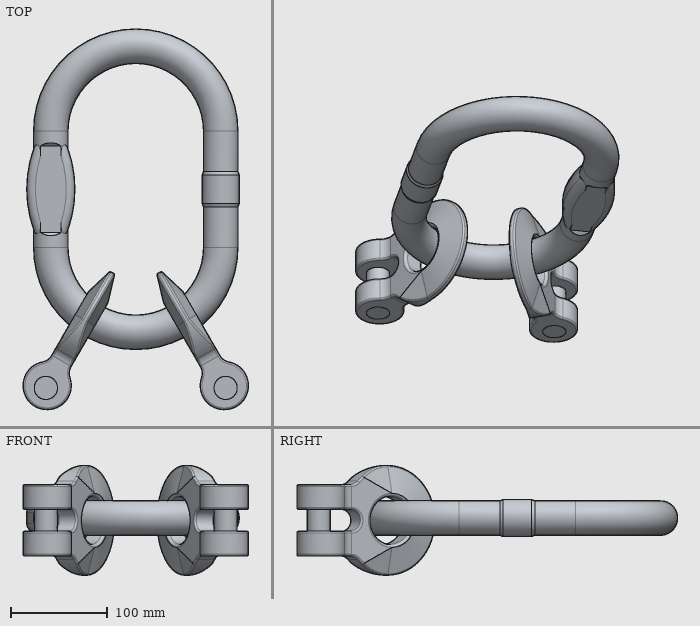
import cadquery as cq
import math

WIRE_DIAMETER = 36.0
RING_INNER_WIDTH = 140.0
RING_STRAIGHT = 120.0
RING_HEIGHT = 2.5
BEND_RADIUS = (RING_INNER_WIDTH + WIRE_DIAMETER) / 2

COLLAR_DIAMETER = 38.5
COLLAR_LENGTH = 36.2
COLLAR_TAPER = 3.5

PAD_LENGTH = 94.5
PAD_MIDDLE_WIDTH = 50.0
PAD_END_WIDTH = 31.0
PAD_THICKNESS = 29.0
PAD_FILLET = 9.0
FLAT_LENGTH = 89.5

HEAD_DIAMETER = 50.0
HEAD_HEIGHT = 74.0
EDGE_FILLET = 2.0
PLATE_THICKNESS = 23.2
DISC_DIAMETER = 114.0
DISC_DISTANCE = 78.0
SHOULDER_RADIUS = 12.0
RIM_THICKNESS = 6.0
BEVEL_INNER_RADIUS = 28.0
BEVEL_END_OFFSET = 34.5
EYE_DIAMETER = 49.5
EYE_ROUNDING = 3.0
SLOT_WIDTH = 22.5
SLOT_BOTTOM = 41.5

PIN_DIAMETER = 24.0
PIN_OFFSET = -2.8

OVERALL_WIDTH = 233.0
OVERALL_LENGTH = 394.0
FORK_TILT = 30

HEAD_RADIUS = HEAD_DIAMETER / 2
RING_HALF_LENGTH = RING_STRAIGHT / 2 + BEND_RADIUS + WIRE_DIAMETER / 2
HEAD_X = OVERALL_WIDTH / 2 - HEAD_RADIUS
HEAD_Y = RING_HALF_LENGTH - OVERALL_LENGTH + HEAD_RADIUS
HEAD_TOP = HEAD_HEIGHT / 2
HALF_PLATE = PLATE_THICKNESS / 2
DISC_RADIUS = DISC_DIAMETER / 2
SHOULDER_Z = HEAD_TOP + SHOULDER_RADIUS
NECK_LENGTH = DISC_DISTANCE - math.sqrt((DISC_RADIUS + SHOULDER_RADIUS) ** 2 - SHOULDER_Z**2)

EXTRA = 4.0


def make_bare_ring():
    """Round wire swept around the stadium."""
    half = RING_STRAIGHT / 2
    path = (
        cq.Workplane("XY")
        .moveTo(BEND_RADIUS, -half)
        .lineTo(BEND_RADIUS, half)
        .threePointArc((0, half + BEND_RADIUS), (-BEND_RADIUS, half))
        .lineTo(-BEND_RADIUS, -half)
        .threePointArc((0, -half - BEND_RADIUS), (BEND_RADIUS, -half))
        .close()
    )
    section = cq.Workplane("XZ", origin=(BEND_RADIUS, -half, 0)).circle(WIRE_DIAMETER / 2)
    return section.sweep(path)


def make_collar():
    """Sleeve with a cone at each end, running down to the wire."""
    half = COLLAR_LENGTH / 2
    top = COLLAR_DIAMETER / 2
    wire = WIRE_DIAMETER / 2
    return (
        cq.Workplane("XY")
        .moveTo(0, -half)
        .lineTo(wire, -half)
        .lineTo(top, -half + COLLAR_TAPER)
        .lineTo(top, half - COLLAR_TAPER)
        .lineTo(wire, half)
        .lineTo(0, half)
        .close()
        .revolve(360, (0, 0, 0), (0, 1, 0))
        .translate((BEND_RADIUS, 0, 0))
    )


def make_pad():
    """Barrel-shaped swelling with rounded long edges."""
    half_length = PAD_LENGTH / 2
    end_x = PAD_END_WIDTH / 2
    middle_x = PAD_MIDDLE_WIDTH / 2
    return (
        cq.Workplane("XY", origin=(-BEND_RADIUS, 0, -PAD_THICKNESS / 2))
        .moveTo(end_x, -half_length)
        .threePointArc((middle_x, 0), (end_x, half_length))
        .lineTo(-end_x, half_length)
        .threePointArc((-middle_x, 0), (-end_x, -half_length))
        .close()
        .extrude(PAD_THICKNESS)
        .faces("<Z or >Z")
        .edges("not |X")
        .fillet(PAD_FILLET)
    )


def make_flat_cutter():
    """Trapezoid tool that presses the +Z flat, with a 45 degree ramp at each end."""
    low = PAD_THICKNESS / 2
    high = WIRE_DIAMETER / 2 + EXTRA
    half = FLAT_LENGTH / 2
    half_top = half + high - low
    return (
        cq.Workplane("YZ", origin=(-BEND_RADIUS, 0, 0))
        .polyline([(-half, low), (half, low), (half_top, high), (-half_top, high)])
        .close()
        .extrude(PAD_MIDDLE_WIDTH / 2, both=True)
    )


def make_ring():
    """Wire with its collar, its swelling and the two pressed flats."""
    ring = make_bare_ring().union(make_collar()).union(make_pad())
    flat = make_flat_cutter()
    return ring.cut(flat).cut(flat.mirror("XY")).translate((0, 0, RING_HEIGHT))


def make_fork_plan():
    """Head circle flaring into the plate, seen along Z and extruded past the disc height."""
    spread = 2 * (HEAD_RADIUS - HALF_PLATE)
    flare_radius = (NECK_LENGTH**2 + HALF_PLATE**2 - HEAD_RADIUS**2) / spread
    flare_x = HALF_PLATE + flare_radius
    share = HEAD_RADIUS / (HEAD_RADIUS + flare_radius)
    touch = (flare_x * share, NECK_LENGTH * share)
    half_angle = math.atan2(NECK_LENGTH, flare_x) / 2
    middle = (
        flare_x - flare_radius * math.cos(half_angle),
        NECK_LENGTH - flare_radius * math.sin(half_angle),
    )
    tip = DISC_DISTANCE + DISC_RADIUS + EXTRA
    return (
        cq.Workplane("XY")
        .moveTo(HALF_PLATE, tip)
        .lineTo(HALF_PLATE, NECK_LENGTH)
        .threePointArc(middle, touch)
        .threePointArc((0, -HEAD_RADIUS), (-touch[0], touch[1]))
        .threePointArc((-middle[0], middle[1]), (-HALF_PLATE, NECK_LENGTH))
        .lineTo(-HALF_PLATE, tip)
        .close()
        .extrude(DISC_DIAMETER, both=True)
    )


def make_fork_side():
    """Head block running into the round disc, seen along the plate's normal."""
    lean = math.atan2(SHOULDER_Z, DISC_DISTANCE - NECK_LENGTH)
    touch = (DISC_DISTANCE - DISC_RADIUS * math.cos(lean), DISC_RADIUS * math.sin(lean))
    middle_angle = (math.pi / 2 + lean) / 2
    middle = (
        NECK_LENGTH + SHOULDER_RADIUS * math.cos(middle_angle),
        SHOULDER_Z - SHOULDER_RADIUS * math.sin(middle_angle),
    )
    back = -HEAD_RADIUS - EXTRA
    return (
        cq.Workplane("YZ")
        .moveTo(back, HEAD_TOP)
        .lineTo(NECK_LENGTH, HEAD_TOP)
        .threePointArc(middle, touch)
        .threePointArc((DISC_DISTANCE + DISC_RADIUS, 0), (touch[0], -touch[1]))
        .threePointArc((middle[0], -middle[1]), (NECK_LENGTH, -HEAD_TOP))
        .lineTo(back, -HEAD_TOP)
        .close()
        .extrude(HEAD_DIAMETER, both=True)
    )


def bevel_triangle(plane, radial_scale):
    """Triangle above the bevel slope, starting at the bevel's inner edge on the +X plate face."""
    slope = (HALF_PLATE - RIM_THICKNESS / 2) / (DISC_RADIUS - BEVEL_INNER_RADIUS)
    run = DISC_DIAMETER - BEVEL_INNER_RADIUS
    return (
        cq.Workplane(plane)
        .moveTo(HALF_PLATE, BEVEL_INNER_RADIUS * radial_scale)
        .lineTo(HALF_PLATE, (BEVEL_INNER_RADIUS + run) * radial_scale)
        .lineTo(HALF_PLATE - slope * run, (BEVEL_INNER_RADIUS + run) * radial_scale)
        .close()
    )


def make_cone_bevel():
    """Half-cone bevel around the tip side of the disc, on the +X face."""
    plane = cq.Plane(origin=(0, DISC_DISTANCE, 0), xDir=(1, 0, 0), normal=(0, -1, 0))
    return bevel_triangle(plane, 1).revolve(180, (0, 0, 0), (-1, 0, 0))


def make_plane_bevel():
    """Flat bevel that runs out towards the head, on the +X face and the +Z side."""
    run_out_z = math.sqrt(DISC_RADIUS**2 - BEVEL_END_OFFSET**2)
    angle = math.atan2(run_out_z - BEVEL_INNER_RADIUS, BEVEL_END_OFFSET)
    plane = cq.Plane(
        origin=(0, DISC_DISTANCE, 0),
        xDir=(1, 0, 0),
        normal=(0, -math.cos(angle), math.sin(angle)),
    )
    wedge = bevel_triangle(plane, math.cos(angle)).extrude(2 * DISC_DIAMETER, both=True)
    head_side = (
        cq.Workplane("XY")
        .box(2 * DISC_DIAMETER, DISC_RADIUS, 4 * DISC_DIAMETER)
        .translate((0, DISC_DISTANCE - DISC_RADIUS / 2, 0))
    )
    return wedge.intersect(head_side)


def make_eye():
    """Cutting tool for the disc's eye, flared at both faces."""
    throat = EYE_DIAMETER / 2
    straight = HALF_PLATE - EYE_ROUNDING
    bow = EYE_ROUNDING * math.sqrt(0.5)
    mouth = throat + EYE_ROUNDING
    return (
        cq.Workplane("XY", origin=(0, DISC_DISTANCE, 0))
        .moveTo(-HALF_PLATE - EXTRA, 0)
        .lineTo(-HALF_PLATE - EXTRA, mouth)
        .lineTo(-HALF_PLATE, mouth)
        .threePointArc((-straight - bow, mouth - bow), (-straight, throat))
        .lineTo(straight, throat)
        .threePointArc((straight + bow, mouth - bow), (HALF_PLATE, mouth))
        .lineTo(HALF_PLATE + EXTRA, mouth)
        .lineTo(HALF_PLATE + EXTRA, 0)
        .close()
        .revolve(360, (0, 0, 0), (1, 0, 0))
    )


def make_slot():
    """Round-bottomed slot that splits the head into two lugs."""
    radius = SLOT_WIDTH / 2
    back = -HEAD_DIAMETER
    return (
        cq.Workplane("YZ")
        .moveTo(back, radius)
        .lineTo(SLOT_BOTTOM - radius, radius)
        .threePointArc((SLOT_BOTTOM, 0), (SLOT_BOTTOM - radius, -radius))
        .lineTo(back, -radius)
        .close()
        .extrude(HEAD_DIAMETER, both=True)
    )


def make_pin():
    """Plain pin, flush with both lugs."""
    return (
        cq.Workplane("XY", origin=(0, PIN_OFFSET, -HEAD_TOP))
        .circle(PIN_DIAMETER / 2)
        .extrude(HEAD_HEIGHT)
    )


def is_outline_edge(edge):
    """True unless the edge reaches in to the start of a bevel."""
    ends = (edge.startPoint(), edge.endPoint())
    nearest = min(math.hypot(point.y - DISC_DISTANCE, point.z) for point in ends)
    return nearest > BEVEL_INNER_RADIUS + EXTRA


def make_fork():
    """Bevelled disc with an eye, and a head split into two lugs for the pin."""
    fork = make_fork_plan().intersect(make_fork_side()).cut(make_slot())
    cone = make_cone_bevel()
    wedge = make_plane_bevel()
    for bevel in (cone, wedge, wedge.mirror("XY")):
        fork = fork.cut(bevel).cut(bevel.mirror("YZ"))
    fork = fork.edges("not (|X or |Z)").filter(is_outline_edge).fillet(EDGE_FILLET)
    return fork.cut(make_eye()).cut(make_pin())


def place(body):
    """Move a body from the fork's own axes to the right-hand position."""
    return body.rotate((0, 0, 0), (0, 0, 1), FORK_TILT).translate((HEAD_X, HEAD_Y, 0))


ring = make_ring()
right_fork = place(make_fork())
right_pin = place(make_pin())

bodies = [ring.val()]
for right_body in (right_fork, right_pin):
    left_body = right_body.mirror("YZ")
    bodies.append(right_body.val())
    bodies.append(left_body.val())

result = cq.Compound.makeCompound([body.Solids()[0] for body in bodies])